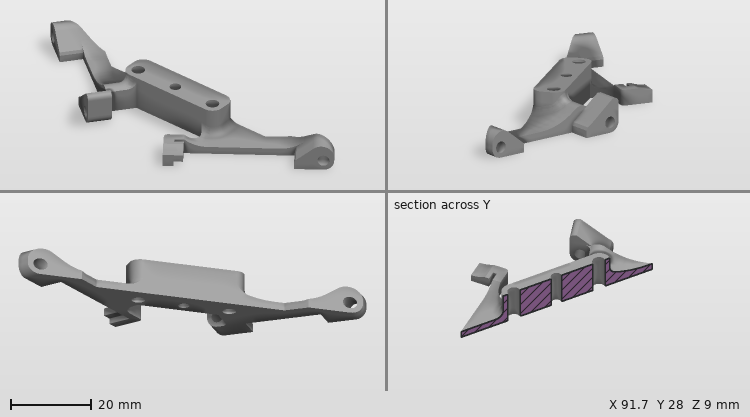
import cadquery as cq
import math


ARM_ANGLE = math.radians(37)
HALF_WIDTH = 45.865
TIP_Y = 6.67

BAR_HEIGHT = 9.0
BAR_HALF_LENGTH = 15.1
BAR_FRONT_Y = -3.1
BAR_BACK_Y = 5.06
BAR_CORNER = 2.85
BAR_FLARE = 2.0
END_HOLE_SPACING = 24.0
END_HOLE_DIAMETER = 3.4
MIDDLE_HOLE_DIAMETER = 2.9

BACK_Y = 8.9
ARM_FRONT_V = 6.0
ARM_BACK_V = 11.4
ARM_THICKNESS = 2.0
PAD_LENGTH = 10.05
PAD_HEIGHT = 6.9
PAD_TOP_ROUND = 3.2
SLOPE = math.cos(ARM_ANGLE)
SLOPE_ANGLE = math.atan(SLOPE)
SLOPE_START_U = PAD_TOP_ROUND * (1 + math.sin(SLOPE_ANGLE))
SLOPE_START_Z = PAD_HEIGHT - PAD_TOP_ROUND * (1 - math.cos(SLOPE_ANGLE))
SLOPE_FOOT_U = SLOPE_START_U + (SLOPE_START_Z - ARM_THICKNESS) / SLOPE
SLOPE_FILLET = 9.5
LIP_WIDTH = 0.4
LIP_Z = 1.9
SCREW_DIAMETER = 3.0
SCREW_Z = 2.7
SCREW_EDGE = 2.7
PAD_HOLE_DEPTH = 15.0

PLATE_END_U = 60.0
PLATE_END_V = 45.0
PICK_MARGIN = 0.1

NECK_INNER_V = 16.0

LEFT_RISE_START_U = 19.9
LEFT_RISE_RADIUS = 17.5
LEFT_NECK_END_U = 34.5
LEFT_NECK_FILLET = 1.5
LEFT_NECK_FOOT_U = 36.4

RIGHT_RISE_START_U = 31.9
RIGHT_NECK_END_U = 33.7
RIGHT_NECK_FILLET = 3.7

BOSS_START_U = 29.8
BOSS_END_U = 39.9
BOSS_DEPTH = 6.2
BOSS_SIDE_Z = 2.7
BOSS_SLOPE_FOOT_U = 31.9
BOSS_SLOPE_FOOT_Z = 3.9
BOSS_HEIGHT = 8.8
BOSS_TOP_ROUND = 1.2

HOOK_START_U = 37.8
HOOK_END_U = 42.9
HOOK_BACK_V = 8.2
HOOK_HEIGHT = 4.1
HOOK_CORNER = 1.0
SLOT_FRONT_V = 5.0
SLOT_END_U = 40.2
TONGUE_SLOPE_V = 3.9
TONGUE_TIP_Z = 3.3
TONGUE_UNDERSIDE_Z = 1.4


def to_xy(u, v):
    """Place an arm-frame point on the left arm."""
    x = -HALF_WIDTH + u * math.cos(ARM_ANGLE) + v * math.sin(ARM_ANGLE)
    y = TIP_Y - u * math.sin(ARM_ANGLE) + v * math.cos(ARM_ANGLE)
    return x, y


def x_at_y(v, y):
    """Find the X at which the line of constant v crosses a given Y."""
    u = (TIP_Y + v * math.cos(ARM_ANGLE) - y) / math.sin(ARM_ANGLE)
    return to_xy(u, v)[0]


def arm_plane(v=0):
    """Upright plane along an arm: local x is u, local y is Z, normal is -v."""
    along = (math.cos(ARM_ANGLE), -math.sin(ARM_ANGLE), 0)
    outward = (-math.sin(ARM_ANGLE), -math.cos(ARM_ANGLE), 0)
    return cq.Workplane(cq.Plane(origin=(*to_xy(0, v), 0), xDir=along, normal=outward))


def arm_block(u_range, v_range, z_range):
    """Box lying square to the arm."""
    (u0, u1), (v0, v1), (z0, z1) = u_range, v_range, z_range
    outline = [(u0, z0), (u1, z0), (u1, z1), (u0, z1)]
    return arm_plane(v0).polyline(outline).close().extrude(v0 - v1)


def screw_hole(u, depth):
    """Cutter for a screw hole entering from the outer face, v = 0."""
    return arm_plane().center(u, SCREW_Z).circle(SCREW_DIAMETER / 2).extrude(-depth)


def corner_fillet(radius):
    """Midpoint inset of a fillet on a square corner, along either side."""
    return radius * (1 - math.sqrt(0.5))


def bar():
    length = 2 * BAR_HALF_LENGTH
    width = BAR_BACK_Y - BAR_FRONT_Y
    middle_y = (BAR_BACK_Y + BAR_FRONT_Y) / 2
    block = cq.Workplane("XY").center(0, middle_y).rect(length, width).extrude(BAR_HEIGHT)
    return block.edges("|Z").fillet(BAR_CORNER)


def tip_profile():
    """Start a side profile on an arm: rounded tip running onto the slope."""
    low_inset = corner_fillet(SCREW_EDGE)
    return (
        arm_plane()
        .moveTo(SCREW_EDGE, 0)
        .threePointArc((low_inset, low_inset), (0, SCREW_EDGE))
        .lineTo(0, PAD_HEIGHT - PAD_TOP_ROUND)
        .tangentArcPoint((SLOPE_START_U, SLOPE_START_Z), relative=False)
    )


def arm_profile():
    """Carry the tip's slope down through a hollow blend to the arm's flat top."""
    tangent = SLOPE_FILLET * math.tan(SLOPE_ANGLE / 2)
    blend_u = SLOPE_FOOT_U - tangent * math.cos(SLOPE_ANGLE)
    blend_z = ARM_THICKNESS + tangent * math.sin(SLOPE_ANGLE)
    return (
        tip_profile()
        .lineTo(blend_u, blend_z)
        .tangentArcPoint((SLOPE_FOOT_U + tangent, ARM_THICKNESS), relative=False)
    )


def space_before_back():
    """Everything in front of the flat back plane."""
    width = 2 * HALF_WIDTH
    depth = 2 * HALF_WIDTH
    return cq.Workplane("XY").center(0, BACK_Y - depth / 2).rect(width, depth).extrude(BAR_HEIGHT)


def pad():
    """Screw pad on the front of an arm tip, cut off flush with the back."""
    slope_end_u = PAD_LENGTH - LIP_WIDTH
    slope_end_z = ARM_THICKNESS + SLOPE * (SLOPE_FOOT_U - slope_end_u)
    profile = (
        tip_profile()
        .lineTo(slope_end_u, slope_end_z)
        .lineTo(PAD_LENGTH, LIP_Z)
        .lineTo(PAD_LENGTH, 0)
        .close()
    )
    return profile.extrude(-ARM_FRONT_V).intersect(space_before_back())


def close_plate(profile, height):
    """Finish a side profile with a level end and extrude it across the arm."""
    profile = profile.lineTo(PLATE_END_U, height).lineTo(PLATE_END_U, 0).close()
    return profile.extrude(-PLATE_END_V)


def left_plate():
    """The left arm sweeps up in a hollow to a rounded crest along the neck."""
    sweep_u = LEFT_RISE_START_U + LEFT_RISE_RADIUS * math.sin(SLOPE_ANGLE)
    sweep_z = ARM_THICKNESS + LEFT_RISE_RADIUS * (1 - math.cos(SLOPE_ANGLE))
    profile = (
        arm_profile()
        .lineTo(LEFT_RISE_START_U, ARM_THICKNESS)
        .tangentArcPoint((sweep_u, sweep_z), relative=False)
        .tangentArcPoint((LEFT_NECK_END_U, sweep_z), relative=False)
    )
    return close_plate(profile, sweep_z)


def right_plate():
    """The right arm stays level and only rises along its neck to the hook."""
    profile = (
        arm_profile()
        .lineTo(RIGHT_RISE_START_U, ARM_THICKNESS)
        .tangentArcPoint((HOOK_START_U, HOOK_HEIGHT), relative=False)
    )
    return close_plate(profile, HOOK_HEIGHT)


def arm_outline(neck_end_u, neck_fillet, neck_foot_u, neck_foot_v):
    """Plan of one arm; the neck side is rounded into the part at its foot."""
    inset = corner_fillet(neck_fillet)
    neck_inner = to_xy(neck_end_u, NECK_INNER_V)
    return (
        cq.Workplane("XY")
        .moveTo(x_at_y(ARM_FRONT_V, BACK_Y), BACK_Y)
        .lineTo(*to_xy(neck_foot_u, ARM_FRONT_V))
        .lineTo(*to_xy(neck_foot_u, neck_foot_v))
        .lineTo(*to_xy(neck_end_u + neck_fillet, neck_foot_v))
        .threePointArc(
            to_xy(neck_end_u + inset, neck_foot_v + inset),
            to_xy(neck_end_u, neck_foot_v + neck_fillet),
        )
        .lineTo(*neck_inner)
        .lineTo(neck_inner[0], BAR_BACK_Y)
        .lineTo(x_at_y(ARM_BACK_V, BAR_BACK_Y), BAR_BACK_Y)
        .lineTo(x_at_y(ARM_BACK_V, BACK_Y), BACK_Y)
        .close()
        .extrude(BAR_HEIGHT)
    )


def flared_arm(plate, outline):
    """Blend the bar into the arm's top, then trim the arm to its plan."""
    joined = plate.union(bar())
    near_bar = cq.selectors.BoxSelector(
        (-BAR_HALF_LENGTH - PICK_MARGIN, BAR_FRONT_Y - PICK_MARGIN, ARM_THICKNESS - PICK_MARGIN),
        (BAR_HALF_LENGTH + PICK_MARGIN, BAR_BACK_Y + PICK_MARGIN, BAR_HEIGHT - PICK_MARGIN),
    )
    blended = joined.edges(near_bar).edges("not |Z").fillet(BAR_FLARE)
    return blended.intersect(outline).union(pad()).cut(screw_hole(SCREW_EDGE, PAD_HOLE_DEPTH))


def left_boss():
    """Wedge-shaped screw boss with a hollow slope foot and a rounded heel."""
    slope_top_u = BOSS_SLOPE_FOOT_U + (BOSS_HEIGHT - BOSS_SLOPE_FOOT_Z) / SLOPE
    top_inset = corner_fillet(BOSS_TOP_ROUND)
    heel_inset = corner_fillet(SCREW_EDGE)
    profile = (
        arm_plane()
        .moveTo(BOSS_END_U - SCREW_EDGE, 0)
        .threePointArc((BOSS_END_U - heel_inset, heel_inset), (BOSS_END_U, SCREW_EDGE))
        .lineTo(BOSS_END_U, BOSS_HEIGHT - BOSS_TOP_ROUND)
        .threePointArc(
            (BOSS_END_U - top_inset, BOSS_HEIGHT - top_inset),
            (BOSS_END_U - BOSS_TOP_ROUND, BOSS_HEIGHT),
        )
        .lineTo(slope_top_u, BOSS_HEIGHT)
        .lineTo(BOSS_SLOPE_FOOT_U, BOSS_SLOPE_FOOT_Z)
        .tangentArcPoint((BOSS_START_U + LIP_WIDTH, BOSS_SIDE_Z), relative=False)
        .lineTo(BOSS_START_U, LIP_Z)
        .lineTo(BOSS_START_U, 0)
        .close()
    )
    return profile.extrude(-BOSS_DEPTH)


def right_hook():
    """Hook with a slot behind its tongue; the tongue is hollowed and overhangs."""
    hook = arm_block((HOOK_START_U, HOOK_END_U), (0, HOOK_BACK_V), (0, HOOK_HEIGHT))
    outer_corner = cq.selectors.NearestToPointSelector(
        (*to_xy(HOOK_END_U, HOOK_BACK_V), HOOK_HEIGHT / 2)
    )
    hook = hook.edges(outer_corner).fillet(HOOK_CORNER)
    slot = arm_block(
        (HOOK_START_U, SLOT_END_U), (SLOT_FRONT_V, ARM_FRONT_V), (0, HOOK_HEIGHT)
    )
    undercut = arm_block(
        (HOOK_START_U, SLOT_END_U), (0, SLOT_FRONT_V), (0, TONGUE_UNDERSIDE_Z)
    )
    side = cq.Plane(
        origin=(*to_xy(HOOK_START_U, 0), 0),
        xDir=(math.sin(ARM_ANGLE), math.cos(ARM_ANGLE), 0),
        normal=(math.cos(ARM_ANGLE), -math.sin(ARM_ANGLE), 0),
    )
    hollow = (
        cq.Workplane(side)
        .moveTo(-TONGUE_SLOPE_V, HOOK_HEIGHT)
        .threePointArc((0, TONGUE_TIP_Z), (TONGUE_SLOPE_V, HOOK_HEIGHT))
        .close()
        .extrude(HOOK_END_U - HOOK_START_U)
    )
    return hook.cut(slot).cut(undercut).cut(hollow)


def left_half():
    outline = arm_outline(LEFT_NECK_END_U, LEFT_NECK_FILLET, LEFT_NECK_FOOT_U, BOSS_DEPTH)
    half = flared_arm(left_plate(), outline).union(left_boss())
    return half.cut(screw_hole(BOSS_END_U - SCREW_EDGE, BOSS_DEPTH))


def right_half():
    outline = arm_outline(RIGHT_NECK_END_U, RIGHT_NECK_FILLET, HOOK_START_U, HOOK_BACK_V)
    half = flared_arm(right_plate(), outline).union(right_hook())
    return half.mirror("YZ")


def bar_holes():
    end_spots = [(-END_HOLE_SPACING / 2, 0), (END_HOLE_SPACING / 2, 0)]
    ends = cq.Workplane("XY").pushPoints(end_spots).circle(END_HOLE_DIAMETER / 2)
    middle = cq.Workplane("XY").circle(MIDDLE_HOLE_DIAMETER / 2)
    return ends.extrude(BAR_HEIGHT).union(middle.extrude(BAR_HEIGHT))


result = bar().union(left_half()).union(right_half()).cut(bar_holes())